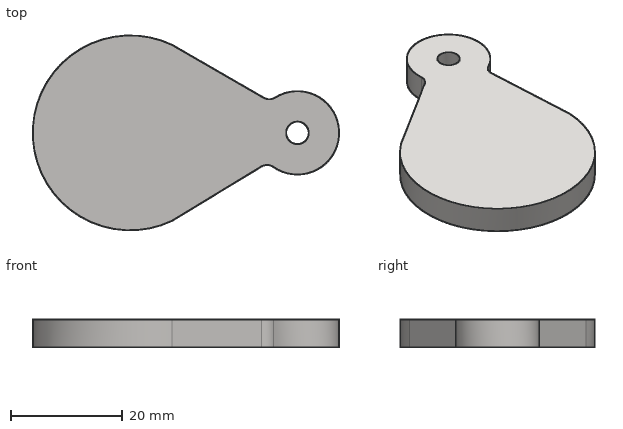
import cadquery as cq
import math

thickness = 5.0
body_radius = 17.5
eye_radius = 7.5
eye_distance = 30.0
hole_diameter = 4.0
neck_fillet_radius = 2.0

flank_start_x = 7.5
back_flank_taper = math.radians(30.0)
front_flank_taper = math.radians(31.3)

flank_start_y = math.sqrt(body_radius**2 - flank_start_x**2)


def flank_end_y(taper):
    """Distance from the X axis that a flank has reached at the eye centre."""
    return flank_start_y - (eye_distance - flank_start_x) * math.tan(taper)


def make_body():
    """Round body with straight flanks that converge until they are inside the eye."""
    return (
        cq.Workplane("XY")
        .moveTo(flank_start_x, flank_start_y)
        .threePointArc((-body_radius, 0), (flank_start_x, -flank_start_y))
        .lineTo(eye_distance, -flank_end_y(front_flank_taper))
        .lineTo(eye_distance, flank_end_y(back_flank_taper))
        .close()
        .extrude(thickness)
    )


def make_eye_cylinder(radius):
    """Full-thickness cylinder on the eye axis."""
    return cq.Workplane("XY").center(eye_distance, 0).circle(radius).extrude(thickness)


def round_neck(blank):
    """Fillet the two inside corners where the flanks meet the eye."""
    neck_corners = cq.selectors.BoxSelector(
        (eye_distance - eye_radius, -eye_radius, 0),
        (eye_distance, eye_radius, thickness),
    )
    return blank.edges("|Z").edges(neck_corners).fillet(neck_fillet_radius)


blank = round_neck(make_body().union(make_eye_cylinder(eye_radius)))
result = blank.cut(make_eye_cylinder(hole_diameter / 2))